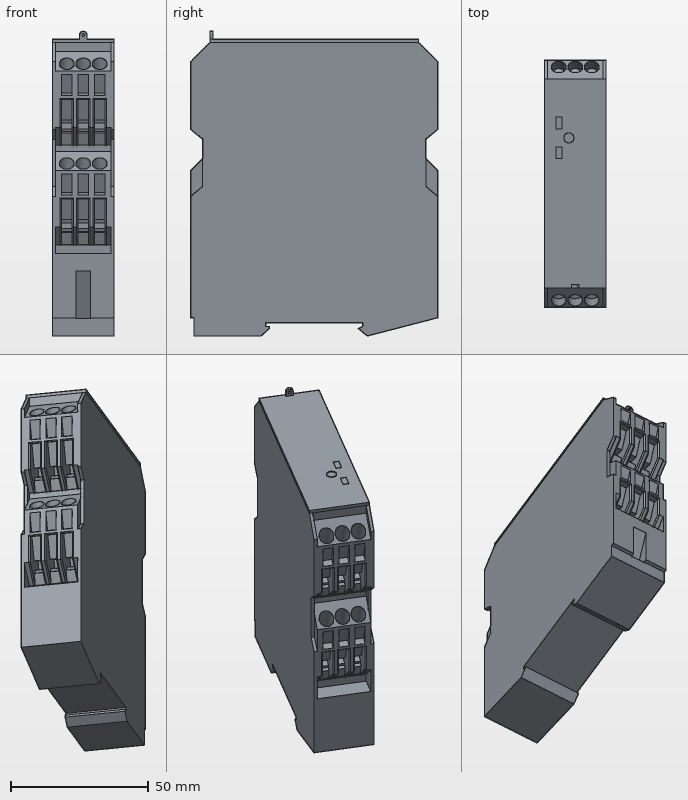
import cadquery as cq
import math

WIDTH = 22.5
DEPTH = 90.0
HEIGHT = 111.0
FACE_Y = DEPTH / 2

HOUSING_TOP = 106.9
TOP_CHAMFER = 7.0
TOP_EDGE_Y = FACE_Y - TOP_CHAMFER
NOTCH_CENTER_Z = 63.0
NOTCH_MOUTH = 24.4
NOTCH_FLOOR = 17.2
NOTCH_DEPTH = 4.3
FOOT_Z = 6.7
FOOT_STEP = 1.2

RAIL_TOP = 4.8
RAIL_HALF = 17.6
LIP_TOP = 3.5
LIP_TIP = 2.8
REAR_LIP_Y = 16.0
FRONT_LIP_Y = 16.3
LIP_BASE_Y = 19.3

WALL = 1.2
BAY_WIDTH = WIDTH - 2 * WALL
BAY_BACK_Y = TOP_EDGE_Y
BAY_BOTTOM = 30.1
BEVEL = FACE_Y - BAY_BACK_Y
UNDERCUT = 6.4
BLOCK_HEIGHT = 34.1
BLOCK_TOP = 103.6
BLOCK_PITCH = 36.3
BLOCK_TOPS = [BLOCK_TOP, BLOCK_TOP - BLOCK_PITCH]
COLUMN_PITCH = 6.0
COLUMNS = [-COLUMN_PITCH, 0, COLUMN_PITCH]

TILT = 20.0
SLOPE = math.tan(math.radians(TILT))
SCREW_HOLE_DIAMETER = 5.3
SCREW_HOLE_DEPTH = 8.9
SCREW_HOLE_DROP = 4.4
OPENING_WIDTH = 3.9
TEST_SLOT_TOP_DROP = 8.3
TEST_SLOT_DEPTH = 2.4
WIRE_SLOT_TOP_DROP = 17.5
WIRE_SLOT_TOP_DEPTH = 2.8
LEDGE_DROP = 29.6
LEDGE_DEPTH = 1.3
FUNNEL = 0.5
WIRE_HOLE_BOTTOM_DROP = 28.1
WIRE_HOLE_HEIGHT = 3.2
WIRE_HOLE_DEPTH = 5.5

RELEASE_WIDTH = 5.2
RELEASE_TOP = 23.6
RELEASE_BOTTOM = 6.3
RELEASE_DEPTH = 6.7

COVER_THICKNESS = 1.2
COVER_TOP = HOUSING_TOP + COVER_THICKNESS
TAB_WIDTH = 2.8
TAB_THICKNESS = 1.2
TAB_HOLE_DIAMETER = 0.9
BUTTON_X = -2.3
BUTTON_Y = 16.6
BUTTON_DIAMETER = 3.7
BUTTON_DEPTH = 0.3
LED_X = -5.9
LED_OFFSET = 5.4
LED_WIDTH = 2.1
LED_LENGTH = 4.2
LED_DEPTH = 0.1

CLEARANCE = 2.2


def prism(points, width, x=0.0):
    """Extrude a (Y, Z) outline to a width centred on x."""
    return cq.Workplane("YZ", origin=(x, 0, 0)).polyline(points).close().extrude(width / 2, both=True)


def at_both_ends(shape):
    """Combine a rear shape with its mirror image at the front."""
    return shape.union(shape.mirror("XZ"))


def wall_notch():
    mouth = NOTCH_MOUTH / 2
    floor = NOTCH_FLOOR / 2
    floor_y = FACE_Y - NOTCH_DEPTH
    return prism([
        (FACE_Y, NOTCH_CENTER_Z - mouth),
        (floor_y, NOTCH_CENTER_Z - floor),
        (floor_y, NOTCH_CENTER_Z + floor),
        (FACE_Y, NOTCH_CENTER_Z + mouth),
    ], WIDTH)


def shell():
    """Plain housing with the wall notches and the rail slot."""
    outline = [
        (TOP_EDGE_Y, HOUSING_TOP),
        (FACE_Y, HOUSING_TOP - TOP_CHAMFER),
        (FACE_Y, FOOT_Z),
        (LIP_BASE_Y, 0),
        (REAR_LIP_Y, LIP_TIP),
        (RAIL_HALF, LIP_TOP),
        (RAIL_HALF, RAIL_TOP),
        (-RAIL_HALF, RAIL_TOP),
        (-RAIL_HALF, LIP_TOP),
        (-FRONT_LIP_Y, LIP_TOP),
        (-FRONT_LIP_Y, LIP_TIP),
        (-LIP_BASE_Y, 0),
        (FOOT_STEP - FACE_Y, 0),
        (FOOT_STEP - FACE_Y, FOOT_Z),
        (-FACE_Y, FOOT_Z),
        (-FACE_Y, HOUSING_TOP - TOP_CHAMFER),
        (-TOP_EDGE_Y, HOUSING_TOP),
    ]
    return prism(outline, WIDTH).cut(at_both_ends(wall_notch()))


def terminal_bay():
    outer_y = FACE_Y + CLEARANCE
    return prism([
        (BAY_BACK_Y, BAY_BOTTOM),
        (outer_y, BAY_BOTTOM),
        (outer_y, HOUSING_TOP),
        (BAY_BACK_Y, HOUSING_TOP),
    ], BAY_WIDTH)


def screw_hole(x, top):
    tilt = math.radians(TILT)
    axis = cq.Vector(0, math.sin(tilt), math.cos(tilt))
    mouth = cq.Vector(x, BAY_BACK_Y + SCREW_HOLE_DROP, top - SCREW_HOLE_DROP)
    bottom = mouth - axis * SCREW_HOLE_DEPTH
    length = SCREW_HOLE_DEPTH + SCREW_HOLE_DIAMETER
    return cq.Workplane(cq.Solid.makeCylinder(SCREW_HOLE_DIAMETER / 2, length, bottom, axis))


def test_slot(x, top):
    """Wedge whose back wall leans out to meet the face at its top."""
    top_z = top - TEST_SLOT_TOP_DROP
    back_z = top_z - TEST_SLOT_DEPTH / SLOPE
    return prism([
        (FACE_Y, top_z),
        (FACE_Y - TEST_SLOT_DEPTH, back_z),
        (FACE_Y, back_z - TEST_SLOT_DEPTH * SLOPE),
    ], OPENING_WIDTH, x)


def wire_slot(x, top):
    """Slot open at the face and the sloped underside, with a ledge and a deeper wire hole."""
    top_z = top - WIRE_SLOT_TOP_DROP
    back_top_y = FACE_Y - WIRE_SLOT_TOP_DEPTH
    back_top_z = top_z + WIRE_SLOT_TOP_DEPTH * SLOPE
    ledge_z = top - LEDGE_DROP
    ledge_back_z = ledge_z + LEDGE_DEPTH * SLOPE
    ledge_back_y = back_top_y - (back_top_z - ledge_back_z) * SLOPE
    ledge_front_y = ledge_back_y + LEDGE_DEPTH
    bottom_z = top - BLOCK_HEIGHT
    bottom_y = ledge_front_y - (ledge_z - bottom_z) * SLOPE
    slot = prism([
        (FACE_Y, top_z),
        (back_top_y, back_top_z),
        (ledge_back_y, ledge_back_z),
        (ledge_front_y, ledge_z),
        (bottom_y, bottom_z),
        (FACE_Y, bottom_z),
    ], OPENING_WIDTH, x)

    hole_z = top - WIRE_HOLE_BOTTOM_DROP
    hole_y = back_top_y - (back_top_z - hole_z) * SLOPE
    inner_y = hole_y - WIRE_HOLE_DEPTH
    inner_z = hole_z + WIRE_HOLE_DEPTH * SLOPE
    lean = WIRE_HOLE_HEIGHT * SLOPE
    hole = prism([
        (hole_y, hole_z),
        (inner_y, inner_z),
        (inner_y + lean, inner_z + WIRE_HOLE_HEIGHT),
        (hole_y + lean, hole_z + WIRE_HOLE_HEIGHT),
    ], OPENING_WIDTH, x)
    return slot.union(hole)


def wire_funnel(x, top):
    """Chamfer around the wire slot, on the face and on the sloped underside."""
    mouth = OPENING_WIDTH + 2 * FUNNEL
    corner_z = top - BLOCK_HEIGHT + UNDERCUT
    face_top_z = top - WIRE_SLOT_TOP_DROP + FUNNEL
    face_length = face_top_z - corner_z + CLEARANCE
    face = cq.Plane((x, FACE_Y, face_top_z - face_length / 2), (1, 0, 0), (0, -1, 0))
    under_length = math.hypot(BEVEL, UNDERCUT) + 2 * CLEARANCE
    under_middle = (x, FACE_Y - BEVEL / 2, corner_z - UNDERCUT / 2)
    under = cq.Plane(under_middle, (1, 0, 0), (0, -UNDERCUT, BEVEL))
    face_part = cq.Workplane(face).rect(mouth, face_length).extrude(FUNNEL, taper=45)
    under_part = cq.Workplane(under).rect(mouth, under_length).extrude(FUNNEL, taper=45)
    return face_part.union(under_part)


def terminal_block(top):
    bottom = top - BLOCK_HEIGHT
    return prism([
        (BAY_BACK_Y, top),
        (FACE_Y, top - BEVEL),
        (FACE_Y, bottom + UNDERCUT),
        (BAY_BACK_Y, bottom),
    ], BAY_WIDTH)


def release_slot():
    return prism([
        (-FACE_Y, RELEASE_TOP),
        (RELEASE_DEPTH - FACE_Y, RELEASE_BOTTOM),
        (-FACE_Y, RELEASE_BOTTOM),
    ], RELEASE_WIDTH)


def make_housing():
    body = shell().cut(at_both_ends(terminal_bay()))
    for top in BLOCK_TOPS:
        body = body.union(at_both_ends(terminal_block(top)))
    for top in BLOCK_TOPS:
        for x in COLUMNS:
            for opening in (screw_hole, test_slot, wire_slot, wire_funnel):
                body = body.cut(at_both_ends(opening(x, top)))
    return body.cut(release_slot())


def make_cover():
    """Flat plate with an upright tab at the front, a round recess and two windows."""
    plate = cq.Workplane("XY", origin=(0, 0, HOUSING_TOP)).rect(WIDTH, 2 * TOP_EDGE_Y).extrude(COVER_THICKNESS)

    radius = TAB_WIDTH / 2
    shoulder = HEIGHT - radius
    tab = (
        cq.Workplane("XZ", origin=(0, TAB_THICKNESS - TOP_EDGE_Y, 0))
        .moveTo(-radius, HOUSING_TOP)
        .lineTo(-radius, shoulder)
        .threePointArc((0, HEIGHT), (radius, shoulder))
        .lineTo(radius, HOUSING_TOP)
        .close()
        .moveTo(0, shoulder)
        .circle(TAB_HOLE_DIAMETER / 2)
        .extrude(TAB_THICKNESS)
    )

    surface = cq.Workplane("XY", origin=(0, 0, COVER_TOP))
    button = surface.center(BUTTON_X, BUTTON_Y).circle(BUTTON_DIAMETER / 2).extrude(-BUTTON_DEPTH)
    window_places = [(LED_X, BUTTON_Y - LED_OFFSET), (LED_X, BUTTON_Y + LED_OFFSET)]
    windows = surface.pushPoints(window_places).rect(LED_WIDTH, LED_LENGTH).extrude(-LED_DEPTH)
    return plate.union(tab).cut(button).cut(windows)


housing = make_housing()
cover = make_cover()

result = cq.Compound.makeCompound([housing.val(), cover.val()])